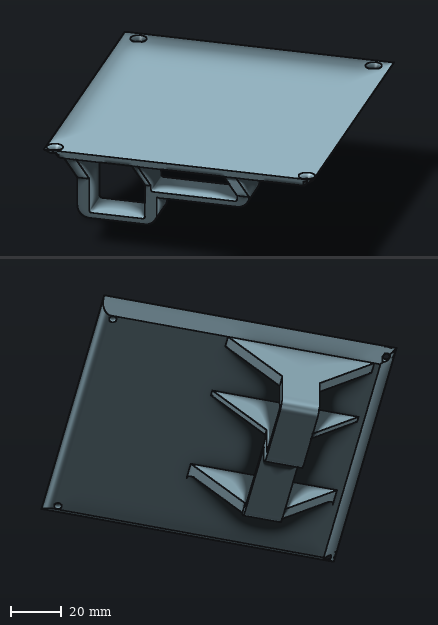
import cadquery as cq

plate_width = 110.0
plate_length = 118.0
plate_thickness = 5.3
rear_edge_radius = 4.0

hole_diameter = 3.0
sink_diameter = 6.5
sink_angle = 90
front_hole_side_inset = 3.5
front_hole_edge_inset = 3.4
rear_hole_side_inset = 7.0
rear_hole_edge_inset = 5.1

total_height = 41.1
wall = 5.0
floor = 2.4
divider = 2.5
deep_opening = 22.7
shallow_opening = 35.2
shallow_depth = 29.0
outer_radius = 5.0
inner_radius = 1.0
root_radius = 2.5

neck_width = 15.1
neck_top_depth = 24.2
flare_width = 59.0
bracket_front_offset = 37.3

left = -plate_width / 2
front = -plate_length / 2
bracket_left = left + plate_thickness
deep_left = bracket_left + wall
deep_right = deep_left + deep_opening
foot_right = deep_right + wall
shallow_left = deep_right + divider
shallow_right = shallow_left + shallow_opening
bracket_right = shallow_right + wall
bracket_y = front + bracket_front_offset


def make_plate():
    """Plate with 45 degree bevels on the sides and front, and a rounded lower rear edge."""
    plate = cq.Workplane("XY").box(plate_width, plate_length, plate_thickness, centered=(True, True, False))
    plate = plate.translate((0, 0, -plate_thickness))
    plate = plate.faces(">Y").edges("<Z").fillet(rear_edge_radius)
    side_profile = (
        cq.Workplane("XZ")
        .polyline([
            (left, 0),
            (-left, 0),
            (-left - plate_thickness, -plate_thickness),
            (left + plate_thickness, -plate_thickness),
        ])
        .close()
        .extrude(plate_length / 2, both=True)
    )
    front_profile = (
        cq.Workplane("YZ")
        .polyline([
            (front, 0),
            (-front, 0),
            (-front, -plate_thickness),
            (front + plate_thickness, -plate_thickness),
        ])
        .close()
        .extrude(plate_width / 2, both=True)
    )
    return plate.intersect(side_profile).intersect(front_profile)


def make_block(x_min, x_max, depth):
    """Block below the plate, as long in Y as the flared bracket root."""
    height = depth - plate_thickness
    return (
        cq.Workplane("XY")
        .box(x_max - x_min, flare_width, height)
        .translate(((x_min + x_max) / 2, bracket_y, -plate_thickness - height / 2))
    )


def make_bracket():
    """Stepped double cradle, cut to the flared side profile."""
    deep = make_block(bracket_left, foot_right, total_height)
    deep = deep.faces("<Z").edges("|Y").fillet(outer_radius)
    shallow = make_block(deep_right, bracket_right, shallow_depth)
    shallow = shallow.faces("<Z").edges("|Y and >X").fillet(outer_radius)
    cradle = deep.union(shallow)
    openings = [
        (deep_left, deep_right, total_height - floor),
        (shallow_left, shallow_right, shallow_depth - floor),
    ]
    for x_min, x_max, depth in openings:
        opening = make_block(x_min, x_max, depth)
        cradle = cradle.cut(opening.faces("<Z").edges("|Y").fillet(inner_radius))

    root = (
        cq.Workplane("XZ", origin=(0, bracket_y, 0))
        .moveTo(bracket_right, -plate_thickness)
        .lineTo(bracket_right + root_radius, -plate_thickness)
        .radiusArc((bracket_right, -plate_thickness - root_radius), -root_radius)
        .close()
        .extrude(flare_width / 2, both=True)
    )
    cradle = cradle.union(root)

    half_flare = flare_width / 2
    half_neck = neck_width / 2
    flare = (
        cq.Workplane("YZ", origin=(0, bracket_y, 0))
        .polyline([
            (-half_flare, -plate_thickness),
            (half_flare, -plate_thickness),
            (half_neck, -neck_top_depth),
            (half_neck, -total_height),
            (-half_neck, -total_height),
            (-half_neck, -neck_top_depth),
        ])
        .close()
        .extrude(plate_width / 2, both=True)
    )
    return cradle.intersect(flare)


def drill_holes(body):
    """Two countersunk holes near the front edge and two near the rear edge."""
    front_x = -left - front_hole_side_inset
    rear_x = -left - rear_hole_side_inset
    front_y = front + front_hole_edge_inset
    rear_y = -front - rear_hole_edge_inset
    points = [(-front_x, front_y), (front_x, front_y), (-rear_x, rear_y), (rear_x, rear_y)]
    return (
        cq.Workplane("XY")
        .add(body.vals())
        .pushPoints(points)
        .cskHole(hole_diameter, sink_diameter, sink_angle, plate_thickness)
    )


result = drill_holes(make_plate()).union(make_bracket())